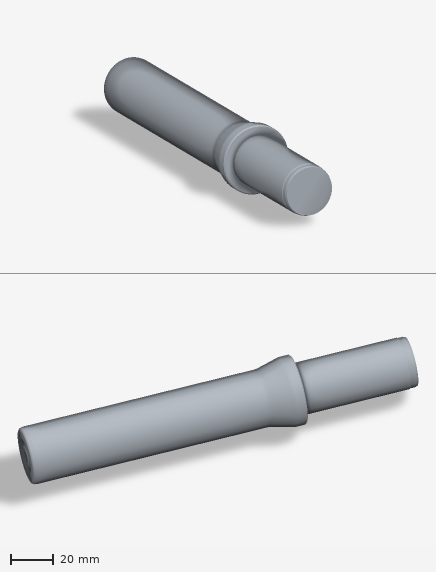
import cadquery as cq
import math

total_length = 190.0
handle_radius = 28.0 / 2
collar_radius = 34.0 / 2
flare_start = 116.8
flare_end = 128.8
collar_end = 134.1
collar_chamfer = 0.5
flare_blend_radius = 4.8

lead_in_radius = 27.5 / 2
rim_round = 1.3
lead_in_length = 2.5

groove_outer_radius = 9.0
groove_bottom_radius = 6.6
groove_inner_radius = 4.5
groove_depth = 0.8
dimple_depth = 0.5

land_radius = 25.0 / 2
journal_radius = 24.5 / 2
land_start = 135.0
land_end = 186.5
land_taper = 0.8
end_chamfer_length = 1.1
end_chamfer_depth = 0.4


def revolve_about_x(outline):
    """Revolve a closed outline, drawn as (x, radius), about the X axis."""
    return outline.revolve(360, (0, 0, 0), (1, 0, 0))


def circle_edges_at(x, radius):
    """Select the circular edge about X at one station, found by its position."""
    margin = 0.1
    reach = radius + margin
    return cq.selectors.BoxSelector(
        (x - margin, -reach, -reach), (x + margin, reach, reach), boundingbox=True
    )


def make_handle():
    face_radius = lead_in_radius - rim_round
    arc_offset = rim_round * math.sin(math.radians(45))
    rim_middle = (rim_round - arc_offset, face_radius + arc_offset)
    outline = (
        cq.Workplane("XY")
        .polyline([
            (collar_end, 0),
            (dimple_depth, 0),
            (0, groove_inner_radius),
            (groove_depth, groove_bottom_radius),
            (0, groove_outer_radius),
            (0, face_radius),
        ])
        .threePointArc(rim_middle, (rim_round, lead_in_radius))
        .lineTo(lead_in_length, handle_radius)
        .lineTo(flare_start, handle_radius)
        .lineTo(flare_end, collar_radius)
        .lineTo(collar_end - collar_chamfer, collar_radius)
        .lineTo(collar_end, collar_radius - collar_chamfer)
        .close()
    )
    body = revolve_about_x(outline)
    body = body.edges(circle_edges_at(flare_start, handle_radius)).fillet(flare_blend_radius)
    return body.edges(circle_edges_at(flare_end, collar_radius)).fillet(flare_blend_radius)


def make_spigot():
    outline = cq.Workplane("XY").polyline([
        (collar_end, 0),
        (collar_end, journal_radius),
        (land_start, journal_radius),
        (land_start + land_taper, land_radius),
        (land_end - land_taper, land_radius),
        (land_end, journal_radius),
        (total_length - end_chamfer_length, journal_radius),
        (total_length, journal_radius - end_chamfer_depth),
        (total_length, 0),
    ]).close()
    return revolve_about_x(outline)


handle = make_handle()
spigot = make_spigot()

result = cq.Compound.makeCompound([handle.val(), spigot.val()])